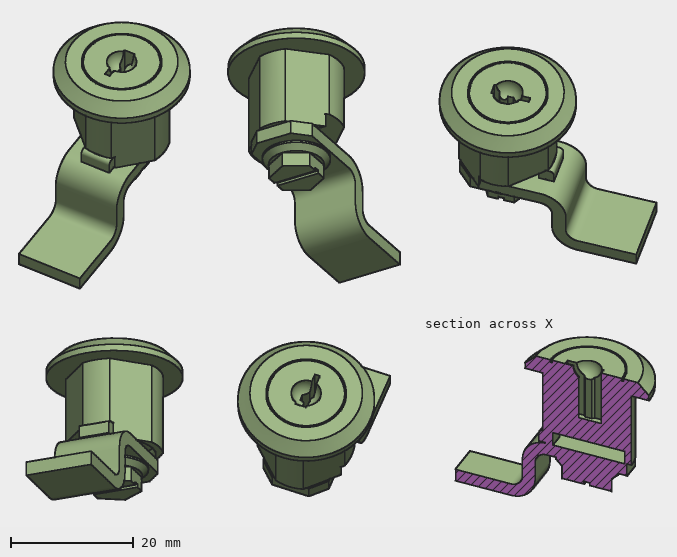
import cadquery as cq
import math


head_radius = 11.15
head_chamfer = 1.98
head_height = 3.1

body_radius = 8.0
body_flat_distance = 7.1
flat_angle = 45
body_bottom = -16.8

recess_height = 2.35
recess_radius = 6.78
recess_top = body_bottom + recess_height
quadrant_wall = 2.8

tab_width = 5.3
tab_inner = 6.05
tab_outer = 8.65
tab_fillet = 0.75

groove_outer_radius = 6.55
groove_inner_radius = 6.3
groove_depth = 0.5
dish_radius = 2.45
keyway_depth = 10.0
key_half_width = 0.95
key_top = 2.57
key_bottom = -3.85
key_blade_right = -0.07
key_blade_top = -1.45
key_shoulder = -0.65
ward_depth = 0.38
ward_center = 0.05
ward_half_height = 0.55
bump_low = 0.28
bump_high = 1.65
bump_reach = 0.85

arm_width = 11.47
arm_thickness = 2.35
arm_drop = 9.87
arm_back = 7.23
arm_tip = -23.6
arm_upright_front = -11.6
bend_inner_radius = 2.05
bend_outer_radius = bend_inner_radius + arm_thickness
arm_corner_chamfer = 2.55

flange_radius = 5.55
flange_rim = 0.35
flange_cone_height = 1.0
hex_diameter = 8.97
hex_sides = 6
hex_angle = 90
hex_height = 2.5
screw_slot_width = 0.97
screw_slot_depth = 0.52


def cylinder(radius, top, height):
    """Cylinder on the lock axis that hangs down from the given level."""
    return cq.Workplane("XY").workplane(offset=top).circle(radius).extrude(-height)


def make_head():
    return cylinder(head_radius, 0, head_height).faces(">Z").chamfer(head_chamfer)


def make_body():
    flat_square = (
        cq.Workplane("XY")
        .rect(2 * body_flat_distance, 2 * body_flat_distance)
        .extrude(body_bottom)
        .rotate((0, 0, 0), (0, 0, 1), flat_angle)
    )
    body = cylinder(body_radius, 0, -body_bottom).intersect(flat_square)
    recess = cylinder(recess_radius, recess_top, recess_height)
    open_quadrant = cq.Workplane("XY").box(
        2 * body_radius, 2 * body_radius, recess_height, centered=False
    ).translate((quadrant_wall - 2 * body_radius, quadrant_wall - 2 * body_radius, body_bottom))
    return body.cut(recess).cut(open_quadrant)


def make_tab():
    tab = cq.Workplane("XY").box(
        tab_width, tab_outer - tab_inner, recess_height, centered=(True, False, False)
    ).translate((0, -tab_outer, body_bottom))
    return tab.edges("<Y and >Z").fillet(tab_fillet)


def make_groove():
    return (
        cq.Workplane("XY")
        .circle(groove_outer_radius)
        .circle(groove_inner_radius)
        .extrude(-groove_depth)
    )


def make_keyway():
    ward_top = ward_center + ward_half_height
    ward_bottom = ward_center - ward_half_height
    ward_right = ward_depth - key_half_width
    return (
        cq.Workplane("XY")
        .moveTo(-key_half_width, key_top)
        .lineTo(-key_half_width, ward_top + ward_depth)
        .lineTo(ward_right, ward_top)
        .lineTo(ward_right, ward_bottom)
        .lineTo(-key_half_width, ward_bottom - ward_depth)
        .lineTo(-key_half_width, key_bottom)
        .lineTo(key_blade_right, key_bottom)
        .lineTo(key_blade_right, key_blade_top)
        .lineTo(key_half_width, key_shoulder)
        .lineTo(key_half_width, bump_low)
        .threePointArc(
            (key_half_width - bump_reach, (bump_low + bump_high) / 2), (key_half_width, bump_high)
        )
        .lineTo(key_half_width, key_top)
        .close()
        .extrude(-keyway_depth)
    )


def make_arm():
    top = body_bottom
    underside = top - arm_thickness
    foot_top = top - arm_drop
    foot_bottom = foot_top - arm_thickness
    upright_back = arm_upright_front + arm_thickness
    upper_bend_y = arm_upright_front + bend_outer_radius
    upper_bend_z = top - bend_outer_radius
    lower_bend_y = arm_upright_front - bend_inner_radius
    lower_bend_z = foot_top + bend_inner_radius
    diagonal = math.sqrt(0.5)
    inner_offset = bend_inner_radius * diagonal
    outer_offset = bend_outer_radius * diagonal
    arm = (
        cq.Workplane("YZ")
        .moveTo(arm_back, top)
        .lineTo(upper_bend_y, top)
        .threePointArc(
            (upper_bend_y - outer_offset, upper_bend_z + outer_offset),
            (arm_upright_front, upper_bend_z),
        )
        .lineTo(arm_upright_front, lower_bend_z)
        .threePointArc(
            (lower_bend_y + inner_offset, lower_bend_z - inner_offset),
            (lower_bend_y, foot_top),
        )
        .lineTo(arm_tip, foot_top)
        .lineTo(arm_tip, foot_bottom)
        .lineTo(lower_bend_y, foot_bottom)
        .threePointArc(
            (lower_bend_y + outer_offset, lower_bend_z - outer_offset),
            (upright_back, lower_bend_z),
        )
        .lineTo(upright_back, upper_bend_z)
        .threePointArc(
            (upper_bend_y - inner_offset, upper_bend_z + inner_offset),
            (upper_bend_y, underside),
        )
        .lineTo(arm_back, underside)
        .close()
        .extrude(arm_width / 2, both=True)
    )
    return arm.faces(">Y").edges("|Z").chamfer(arm_corner_chamfer)


def make_screw():
    flange_top = body_bottom - arm_thickness
    flange_height = flange_rim + flange_cone_height
    hex_top = flange_top - flange_height
    flange = (
        cylinder(flange_radius, flange_top, flange_height)
        .faces("<Z")
        .chamfer(flange_cone_height)
    )
    hex_head = (
        cq.Workplane("XY")
        .workplane(offset=hex_top)
        .polygon(hex_sides, hex_diameter)
        .extrude(-hex_height)
        .rotate((0, 0, 0), (0, 0, 1), hex_angle)
    )
    slot = cq.Workplane("XY").box(
        hex_diameter, screw_slot_width, screw_slot_depth, centered=(True, True, False)
    ).translate((0, 0, hex_top - hex_height))
    return flange.union(hex_head).cut(slot)


housing = make_head().union(make_body())
housing = housing.cut(make_groove())
housing = housing.cut(cq.Workplane("XY").sphere(dish_radius))
housing = housing.cut(make_keyway())

result = housing.union(make_tab()).union(make_arm()).union(make_screw())